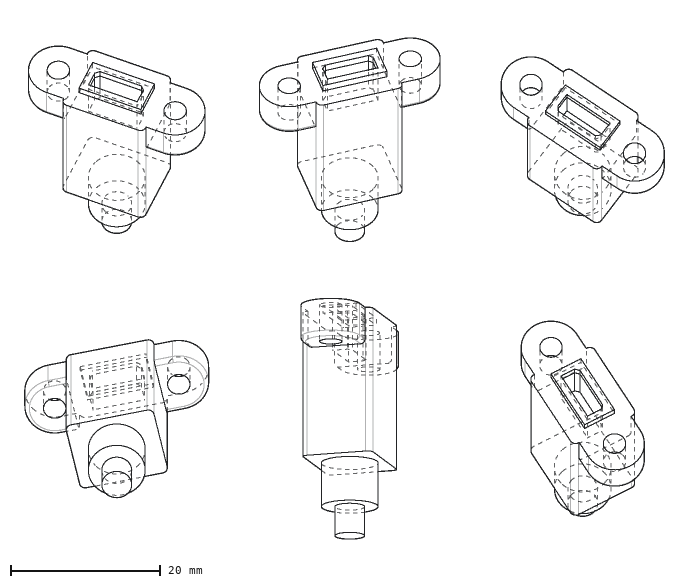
import cadquery as cq

block_length = 12.0
block_width = 9.8
block_height = 19.77
block_corner_radius = 0.8

ear_span = 25.0
ear_width = 8.0
ear_height = 5.0
ear_bottom_radius = 0.62
screw_hole_diameter = 3.0
screw_hole_spacing = ear_span - ear_width

relief_diameter = 7.6
relief_length = 6.0
cable_diameter = 4.0
cable_length = 4.0

rim_length = 9.0
rim_width = 4.62
rim_height = 1.02

socket_length = 7.08
socket_width = 2.62
socket_chamfer = 0.52
socket_depth = 6.0


def make_socket_cutter():
    """Socket space from the rim's top face down into the housing."""
    return (
        cq.Workplane("XY", origin=(0, 0, rim_height))
        .rect(socket_length, socket_width)
        .extrude(-socket_depth)
        .edges("|Z and >Y")
        .chamfer(socket_chamfer)
    )


def make_ears():
    """Rounded mounting flange with softened lower edge and screw holes."""
    return (
        cq.Workplane("XY")
        .slot2D(ear_span, ear_width)
        .extrude(-ear_height)
        .faces("<Z")
        .edges()
        .fillet(ear_bottom_radius)
        .faces(">Z")
        .workplane()
        .pushPoints([(-screw_hole_spacing / 2, 0), (screw_hole_spacing / 2, 0)])
        .hole(screw_hole_diameter)
    )


def make_housing():
    """Block with ears, strain relief and cable, hollowed by the socket."""
    block = (
        cq.Workplane("XY")
        .rect(block_length, block_width)
        .extrude(-block_height)
        .edges("|Z")
        .fillet(block_corner_radius)
    )
    tail = (
        block.faces("<Z")
        .workplane()
        .circle(relief_diameter / 2)
        .extrude(relief_length)
        .faces("<Z")
        .workplane()
        .circle(cable_diameter / 2)
        .extrude(cable_length)
    )
    return tail.union(make_ears()).cut(make_socket_cutter())


def make_connector_rim():
    """Rectangular frame around the socket opening."""
    rim = cq.Workplane("XY").rect(rim_length, rim_width).extrude(rim_height)
    return rim.cut(make_socket_cutter())


housing = make_housing()
connector_rim = make_connector_rim()

result = cq.Compound.makeCompound([housing.val(), connector_rim.val()])